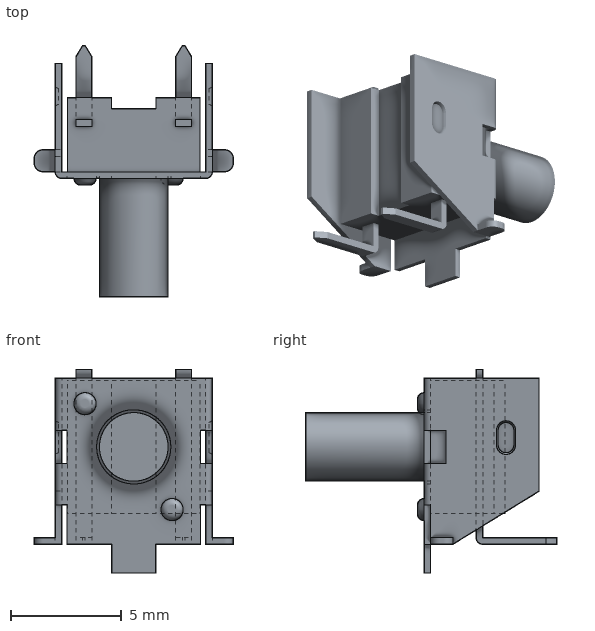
import cadquery as cq


SHEET = 0.3
AXIS_Z = 4.4

BRACKET_WIDTH = 7.1
BRACKET_DEPTH = 5.2
BRACKET_HEIGHT = 7.5
HALF_WIDTH = BRACKET_WIDTH / 2
SLOPE_REAR_Z = 2.4
SLOPE_FRONT_Y = 1.3
PLUNGER_HOLE_RADIUS = 1.675

RELIEF_HALF_SPACING = 3.02
WINDOW_HEIGHT = 1.5
WINDOW_DEPTH = 1.0
SLIT_HEIGHT = 1.78

TAB_WIDTH = 2.0
TAB_LENGTH = 1.3

FOOT_SPAN = 9.0
FOOT_WIDTH = 1.0
FOOT_RADIUS = 0.4

BUMP_RADIUS = 0.5
BUMP_HEIGHT = 0.3
BUMP_CENTERS = [(-2.2, 6.35), (1.73, 1.57)]

DIMPLE_Y = 3.7
DIMPLE_Z = 4.82
DIMPLE_LENGTH = 1.52
DIMPLE_WIDTH = 0.86
DIMPLE_DEPTH = 0.15
DIMPLE_DRAFT = 27

HOUSING_SIZE = 6.0
HOUSING_REAR_Y = 3.65
HOUSING_TOP = AXIS_Z + HOUSING_SIZE / 2
REAR_NOTCH_WIDTH = 2.0
REAR_NOTCH_DEPTH = 0.5

PLUNGER_RADIUS = 1.55
PLUNGER_REACH = 5.35

TERMINAL_SPACING = 4.5
TERMINAL_WIDTH = 0.72
TERMINAL_FRONT_Y = 2.35
TERMINAL_TIP_Y = 6.0
TERMINAL_TOP = HOUSING_TOP + 0.5
TIP_TAPER = 0.5
TIP_FLAT = 0.12
TERMINAL_POSITIONS = [-TERMINAL_SPACING / 2, TERMINAL_SPACING / 2]


def box(x_range, y_range, z_range):
    """Box between the given limits on each axis."""
    (x0, x1), (y0, y1), (z0, z1) = x_range, y_range, z_range
    return cq.Workplane("XY").box(x1 - x0, y1 - y0, z1 - z0, centered=False).translate((x0, y0, z0))


def both_sides(shape):
    """The shape together with its mirror image across X = 0."""
    return shape.union(shape.mirror("YZ"))


def bracket_shell():
    """U-shaped sheet with rounded outer corners and sloping lower edges on its side walls."""
    outer = box((-HALF_WIDTH, HALF_WIDTH), (0, BRACKET_DEPTH), (0, BRACKET_HEIGHT))
    outer = outer.edges("|Z and <Y").fillet(SHEET)
    inner_half = HALF_WIDTH - SHEET
    inside = box((-inner_half, inner_half), (SHEET, BRACKET_DEPTH), (0, BRACKET_HEIGHT))
    below_slope = (
        cq.Workplane("YZ")
        .polyline([(SLOPE_FRONT_Y, 0), (BRACKET_DEPTH, 0), (BRACKET_DEPTH, SLOPE_REAR_Z)])
        .close()
        .extrude(HALF_WIDTH, both=True)
    )
    return outer.cut(inside).cut(below_slope)


def corner_cutouts():
    """Window and lower slit in each bent corner."""
    x_range = (RELIEF_HALF_SPACING, HALF_WIDTH)
    window_z = (AXIS_Z - WINDOW_HEIGHT / 2, AXIS_Z + WINDOW_HEIGHT / 2)
    window = box(x_range, (0, WINDOW_DEPTH), window_z)
    slit = box(x_range, (0, SHEET), (0, SLIT_HEIGHT))
    return both_sides(window.union(slit))


def feet():
    """Rounded feet that stick out sideways from the side walls."""
    foot = box((HALF_WIDTH - SHEET, FOOT_SPAN / 2), (SHEET, SHEET + FOOT_WIDTH), (0, SHEET))
    return both_sides(foot.edges("|Z and >X").fillet(FOOT_RADIUS))


def bump(x, z):
    """Round-edged bump on the front face, rooted in the sheet."""
    return (
        cq.Workplane("XZ", origin=(x, SHEET, z))
        .circle(BUMP_RADIUS)
        .extrude(SHEET + BUMP_HEIGHT)
        .faces("<Y")
        .edges()
        .fillet(BUMP_HEIGHT)
    )


def dimples():
    """Blind oval recess with drafted walls in the outer face of each side wall."""
    dimple = (
        cq.Workplane("YZ", origin=(-HALF_WIDTH, DIMPLE_Y, DIMPLE_Z))
        .slot2D(DIMPLE_LENGTH, DIMPLE_WIDTH, 90)
        .extrude(DIMPLE_DEPTH, taper=DIMPLE_DRAFT)
    )
    return both_sides(dimple)


def make_bracket():
    tab = box((-TAB_WIDTH / 2, TAB_WIDTH / 2), (0, SHEET), (-TAB_LENGTH, 0))
    plunger_hole = (
        cq.Workplane("XZ", origin=(0, SHEET, AXIS_Z)).circle(PLUNGER_HOLE_RADIUS).extrude(SHEET)
    )
    bracket = bracket_shell().cut(corner_cutouts()).cut(plunger_hole).cut(dimples())
    bracket = bracket.union(feet()).union(tab)
    for x, z in BUMP_CENTERS:
        bracket = bracket.union(bump(x, z))
    return bracket


def make_terminal(x):
    """Upright blade bent to the rear at the mounting plane, ending in a tapered tip."""
    half = TERMINAL_WIDTH / 2
    shoulder_y = TERMINAL_TIP_Y - TIP_TAPER
    heel_y = TERMINAL_FRONT_Y + SHEET
    upright = box((x - half, x + half), (TERMINAL_FRONT_Y, heel_y), (0, TERMINAL_TOP))
    leg = (
        cq.Workplane("XY", origin=(x, 0, 0))
        .moveTo(-half, TERMINAL_FRONT_Y)
        .lineTo(-half, shoulder_y)
        .lineTo(-TIP_FLAT / 2, TERMINAL_TIP_Y)
        .lineTo(TIP_FLAT / 2, TERMINAL_TIP_Y)
        .lineTo(half, shoulder_y)
        .lineTo(half, TERMINAL_FRONT_Y)
        .close()
        .extrude(SHEET)
    )
    return upright.union(leg).edges("|X and <Y and <Z").fillet(SHEET)


def make_housing(terminals):
    """Square block with a rear notch and a passage for each terminal."""
    half = HOUSING_SIZE / 2
    housing = box((-half, half), (SHEET, HOUSING_REAR_Y), (AXIS_Z - half, HOUSING_TOP))
    housing = housing.cut(
        box(
            (-REAR_NOTCH_WIDTH / 2, REAR_NOTCH_WIDTH / 2),
            (HOUSING_REAR_Y - REAR_NOTCH_DEPTH, HOUSING_REAR_Y),
            (AXIS_Z - half, HOUSING_TOP),
        )
    )
    for terminal in terminals:
        housing = housing.cut(terminal)
    return housing


def make_plunger():
    """Round plunger that stands on the housing and passes through the bracket."""
    return (
        cq.Workplane("XZ", origin=(0, SHEET, AXIS_Z))
        .circle(PLUNGER_RADIUS)
        .extrude(SHEET + PLUNGER_REACH)
    )


bracket = make_bracket()
terminals = [make_terminal(x) for x in TERMINAL_POSITIONS]
housing = make_housing(terminals)
plunger = make_plunger()

result = cq.Compound.makeCompound(
    [bracket.val(), housing.val(), plunger.val(), *[terminal.val() for terminal in terminals]]
)